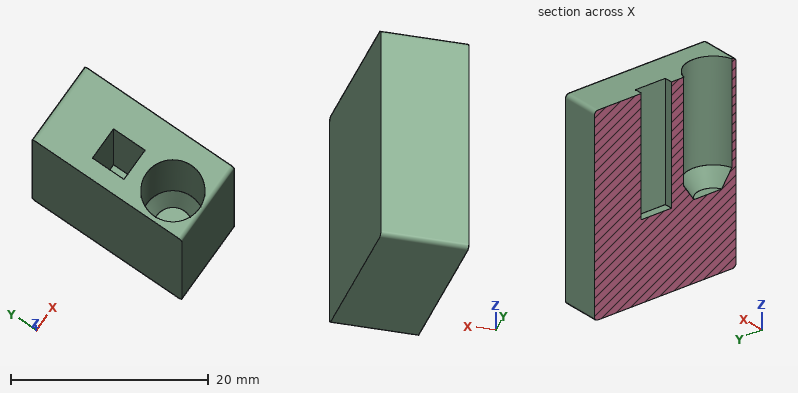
import cadquery as cq

width = 9.3
depth = 18.5
height = 24.15
edge_radius = 0.5

pocket_depth = 14.5
pocket_x = -width / 2 + 3.75

bore_diameter = 6.5
floor_diameter = 4.0
taper_height = 2.0
bore_y = -depth / 2 + 3.72

slot_width = 3.72
slot_length = 3.9
slot_y = -depth / 2 + 10.4


def make_body():
    """Block with its four edges along X rounded."""
    block = cq.Workplane("XY").box(width, depth, height, centered=(True, True, False))
    return block.edges("|X").fillet(edge_radius)


def make_round_pocket():
    """Bore and tapered bottom as one turned solid."""
    bore_radius = bore_diameter / 2
    floor_radius = floor_diameter / 2
    half_section = (
        cq.Workplane("XZ")
        .moveTo(0, 0)
        .lineTo(bore_radius, 0)
        .lineTo(bore_radius, taper_height - pocket_depth)
        .lineTo(floor_radius, -pocket_depth)
        .lineTo(0, -pocket_depth)
        .close()
    )
    pocket = half_section.revolve(360, (0, 0, 0), (0, 1, 0))
    return pocket.translate((pocket_x, bore_y, height))


def make_slot():
    """Straight rectangular pocket with a flat floor."""
    slot = cq.Workplane("XY").box(slot_width, slot_length, pocket_depth)
    return slot.translate((pocket_x, slot_y, height - pocket_depth / 2))


result = make_body().cut(make_round_pocket()).cut(make_slot())